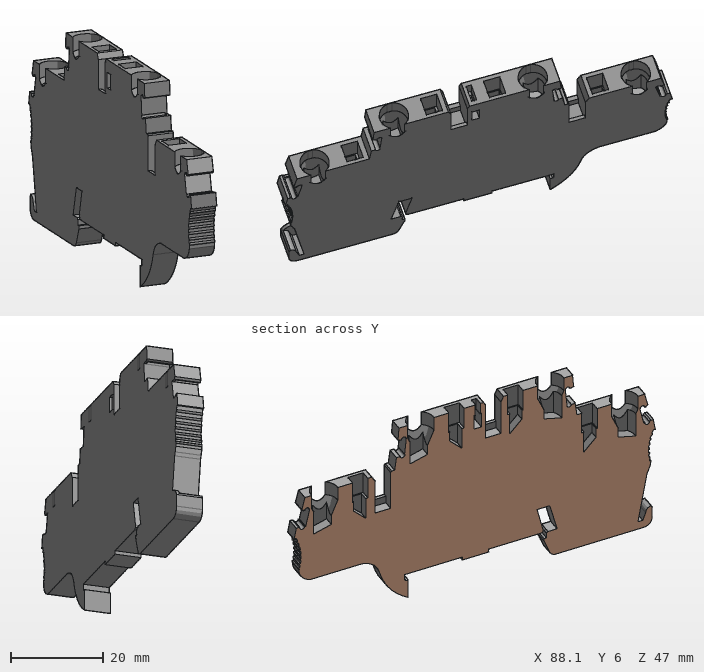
import cadquery as cq
import math

LENGTH = 88.1
WIDTH = 6.0
HEIGHT = 47.0
UPPER_MIRROR_SUM = 82.7
LOWER_TOP = 36.0
RAIL_LINE = 6.9
RAIL_PAD = 6.1
ARM_BOTTOM = 13.3

UPPER_SLOT = (37.7, 41.4)
UPPER_SLOT_FLOOR = 39.0
LOWER_SLOT = (64.6, 68.3)
LOWER_SLOT_FLOOR = 27.8
SLOT_WELL_Y = (0.8, 4.9)
SLOT_WELL_DEPTH = 1.8

HOOK_X = 60.25
HOOK_TIP_Z = 0.4
HOOK_CATCH_Z = 5.3
HOOK_ROOT_X = 61.1

SPRING_SLOT_TOP = 13.6
SPRING_SLOT_X = (25.8, 28.8)

GRIP_TOP = (0.5, 25.5)
GRIP_MIDDLE = (1.7, 20.5)
GRIP_BOTTOM = (1.2, 16.9)
RIB_HEIGHTS = (24.5, 23.25, 22.0, 20.8, 19.55, 18.3, 17.3)
RIB_RADIUS = 0.3

LOWER_WIRE_X = 7.5
UPPER_WIRE_X = 25.5
WIRE_ENTRIES = (
    (LOWER_WIRE_X, LOWER_TOP, 1),
    (UPPER_WIRE_X, HEIGHT, 1),
    (UPPER_MIRROR_SUM - UPPER_WIRE_X, HEIGHT, -1),
    (LENGTH - LOWER_WIRE_X, LOWER_TOP, -1),
)
FUNNEL_Y = 2.7
FUNNEL_RADIUS = 3.2
FUNNEL_FLAT_WIDTH = 1.1
FUNNEL_STRAIGHT_DEPTH = 3.4
FUNNEL_DEPTH = 7.05
FUNNEL_FLOOR_RADIUS = 1.6
WIRE_HOLE_RADIUS = 2.6
WIRE_HOLE_INNER = 1.6
WIRE_HOLE_Y = (0.8, 4.7)
WIRE_HOLE_DEPTH = 10.6
WIRE_FLOOR_SLOPE = 15.0

DRIVER_OFFSET = 8.6
DRIVER_LENGTH = 3.7
DRIVER_Y = (0.8, 5.0)
DRIVER_DEPTH = 5.3
DRIVER_WALL_STEP = 0.3
DRIVER_INNER_LEDGE = 0.5
DRIVER_HOLE_DEPTH = 10.6
DRIVER_FLOOR_SLOPE = 45.0

WINDOW_X = (42.45, 44.1)
WINDOW_Z = (40.6, 44.1)
SLIT_X = (42.7, 43.9)
SLIT_Y = (1.1, 4.9)

LOWER_RECESSES = ((3.2, 32.4), (2.0, 28.2))
UPPER_RECESSES = ((21.4, 43.6), (21.05, 39.3))
RECESS_RADIUS = 0.5
RECESS_WALL = 0.5

FOOT_WEB = 0.8
BACK_EDGE_TOP = (2.0, 14.4)
POCKET_CORNER = (4.2, 2.1)
LIP_TOP = (1.15, 5.4)
FOOT_TOP_Z = 6.8
FOOT_FRONT = 0.8

LOWER_END = [
    GRIP_TOP, (0, 25.5), (0.5, 28.45), (1.15, 28.45), (1.5, 28.2), (2.8, 28.2), (3.8, 32.4),
    (2.3, 32.4), (1.85, 32.85), (2.6, LOWER_TOP),
]
UPPER_END = [
    (19.1, LOWER_TOP), (19.55, 39.3), (21.5, 39.2), (21.9, 43.6), (20.4, 43.6), (19.9, 43.9), (20.2, HEIGHT),
]


def mirrored(points, mirror_sum):
    """Mirror X-Z points left to right and reverse their order."""
    return [(mirror_sum - x, z) for x, z in reversed(points)]


def box(x_range, y_range, z_range):
    """Block spanning the given ranges, in either order of x."""
    x_low, x_high = sorted(x_range)
    size = (x_high - x_low, y_range[1] - y_range[0], z_range[1] - z_range[0])
    return cq.Workplane("XY").box(*size, centered=False).translate((x_low, y_range[0], z_range[0]))


def plate(outline, y_start=0.0, y_end=WIDTH):
    """Extrude a closed X-Z outline across Y."""
    return outline.extrude(y_start - y_end).translate((0, y_start, 0))


def rod(x, z, radius, y_start=0.0, y_end=WIDTH):
    """Round bar along Y."""
    return plate(cq.Workplane("XZ").center(x, z).circle(radius), y_start, y_end)


def body():
    """Side outline of the block, extruded across its full width."""
    outline = cq.Workplane("XZ").moveTo(*GRIP_BOTTOM).threePointArc(GRIP_MIDDLE, GRIP_TOP)
    top_run = LOWER_END[1:] + UPPER_END + [
        (37.1, HEIGHT), (UPPER_SLOT[0], 45.7), (UPPER_SLOT[0], UPPER_SLOT_FLOOR),
        (UPPER_SLOT[1], UPPER_SLOT_FLOOR), (UPPER_SLOT[1], 46.15), (41.9, HEIGHT),
    ]
    top_run += mirrored(UPPER_END, UPPER_MIRROR_SUM)
    top_run += [
        (64.3, LOWER_TOP), (LOWER_SLOT[0], 35.8), (LOWER_SLOT[0], LOWER_SLOT_FLOOR),
        (LOWER_SLOT[1], LOWER_SLOT_FLOOR), (LOWER_SLOT[1], 34.6), (69.1, LOWER_TOP),
    ]
    top_run += mirrored(LOWER_END, LENGTH)
    for point in top_run:
        outline = outline.lineTo(*point)
    grip_middle, grip_bottom = mirrored([GRIP_BOTTOM, GRIP_MIDDLE], LENGTH)
    outline = (
        outline.threePointArc(grip_middle, grip_bottom)
        .lineTo(86.85, 16.2)
        .threePointArc((86.05, 14.5), (83.9, ARM_BOTTOM))
        .lineTo(71.6, ARM_BOTTOM)
        .threePointArc((68.9, 12.15), (67.3, 9.6))
        .threePointArc((64.65, 4.2), (HOOK_X, HOOK_TIP_Z))
        .lineTo(HOOK_X, HOOK_CATCH_Z)
        .lineTo(60.8, HOOK_CATCH_Z)
        .lineTo(HOOK_ROOT_X, 5.6)
    )
    rail_run = [
        (HOOK_ROOT_X, RAIL_LINE), (47.0, RAIL_LINE), (47.0, RAIL_PAD), (40.6, RAIL_PAD), (40.6, RAIL_LINE),
        (27.75, RAIL_LINE), (27.4, 7.2), (27.4, 7.8), (SPRING_SLOT_X[1], SPRING_SLOT_TOP),
        (SPRING_SLOT_X[0], SPRING_SLOT_TOP), (24.05, RAIL_LINE),
        (26.25, RAIL_LINE), (26.6, 6.5), (26.6, 5.3), (27.2, 5.3), (27.2, 4.6), (25.8, 1.1),
    ]
    for point in rail_run:
        outline = outline.lineTo(*point)
    edge_slope = (POCKET_CORNER[0] - BACK_EDGE_TOP[0]) / (POCKET_CORNER[1] - BACK_EDGE_TOP[1])
    foot_top = (BACK_EDGE_TOP[0] + edge_slope * (FOOT_TOP_Z - BACK_EDGE_TOP[1]), FOOT_TOP_Z)
    outline = (
        outline.threePointArc((25.3, 0.35), (24.4, 0))
        .lineTo(2.9, 0)
        .threePointArc((1.4, 0.6), (FOOT_FRONT, 2.1))
        .lineTo(FOOT_FRONT, 4.85)
        .threePointArc((2.0, 6.25), foot_top)
        .lineTo(*BACK_EDGE_TOP)
        .lineTo(1.7, 15.15)
        .lineTo(1.2, 16.3)
        .close()
    )
    return plate(outline)


def grip_ribs():
    """Round ribs along both concave finger grips."""
    arc_points = [cq.Vector(x, 0, z) for x, z in (GRIP_TOP, GRIP_MIDDLE, GRIP_BOTTOM)]
    grip_arc = cq.Edge.makeThreePointArc(*arc_points)
    centre = grip_arc.arcCenter()
    radius = grip_arc.radius()
    ribs = cq.Workplane("XZ")
    for z in RIB_HEIGHTS:
        x = centre.x + math.sqrt(radius**2 - (z - centre.z) ** 2)
        ribs = ribs.add(rod(x, z, RIB_RADIUS)).add(rod(LENGTH - x, z, RIB_RADIUS))
    return ribs.combine()


def foot_pocket():
    """Pocket behind the foot's lip, closed by a thin web on the +Y side."""
    outline = (
        cq.Workplane("XZ").moveTo(*BACK_EDGE_TOP)
        .lineTo(*POCKET_CORNER)
        .lineTo(3.2, POCKET_CORNER[1])
        .lineTo(2.5, 4.0)
        .threePointArc((2.1, 4.85), LIP_TOP)
        .lineTo(LIP_TOP[0], BACK_EDGE_TOP[1])
        .close()
    )
    return plate(outline, 0, WIDTH - FOOT_WEB)


def sloped_hole(x_range, y_range, top, depth, slope):
    """Rectangular hole whose floor starts at the first x and drops towards the second."""
    x_high_floor, x_low_floor = x_range
    drop = abs(x_low_floor - x_high_floor) * math.tan(math.radians(slope))
    floor = top - depth
    outline = cq.Workplane("XZ").polyline([
        (x_high_floor, top), (x_low_floor, top), (x_low_floor, floor), (x_high_floor, floor + drop),
    ]).close()
    return plate(outline, *y_range)


def wire_entry(x, top, inward):
    """Funnel breaking out of the -Y face, and the wire hole below it."""
    funnel_outline = (
        cq.Workplane("XZ").polyline([
            (0, 0), (FUNNEL_RADIUS, 0), (FUNNEL_RADIUS, -FUNNEL_STRAIGHT_DEPTH),
            (FUNNEL_FLOOR_RADIUS, -FUNNEL_DEPTH), (0, -FUNNEL_DEPTH),
        ]).close()
    )
    funnel = funnel_outline.revolve(360, (0, 0), (0, 1)).translate((x, FUNNEL_Y, top))
    funnel_x = (x - FUNNEL_RADIUS, x + FUNNEL_RADIUS)
    flat_y = FUNNEL_Y + math.sqrt(FUNNEL_RADIUS**2 - (FUNNEL_FLAT_WIDTH / 2) ** 2)
    flat_limit = box(funnel_x, (FUNNEL_Y - FUNNEL_RADIUS, flat_y), (top - FUNNEL_DEPTH, top))
    funnel = funnel.intersect(flat_limit)
    hole_x = (x + inward * WIRE_HOLE_INNER, x - inward * WIRE_HOLE_RADIUS)
    hole = sloped_hole(hole_x, WIRE_HOLE_Y, top, WIRE_HOLE_DEPTH, WIRE_FLOOR_SLOPE)
    round_limit = cq.Workplane("XY").center(x, FUNNEL_Y).circle(WIRE_HOLE_RADIUS).extrude(HEIGHT)
    return funnel.union(hole.intersect(round_limit))


def driver_pocket(x, top, inward):
    """Stepped pocket with a ledge on the inward side and a floor falling inwards."""
    centre = x + inward * DRIVER_OFFSET
    outer = centre - inward * DRIVER_LENGTH / 2
    inner = centre + inward * DRIVER_LENGTH / 2
    mouth = box((outer, inner), DRIVER_Y, (top - DRIVER_DEPTH, top))
    hole_x = (outer + inward * DRIVER_WALL_STEP, inner - inward * DRIVER_INNER_LEDGE)
    hole_y = (DRIVER_Y[0] + DRIVER_WALL_STEP, DRIVER_Y[1] - DRIVER_WALL_STEP)
    return mouth.union(sloped_hole(hole_x, hole_y, top, DRIVER_HOLE_DEPTH, DRIVER_FLOOR_SLOPE))


def groove_recesses():
    """Blind round recesses in the floor and ceiling of every label groove."""
    recesses = cq.Workplane("XZ")
    for places, mirror_sum in ((LOWER_RECESSES, LENGTH), (UPPER_RECESSES, UPPER_MIRROR_SUM)):
        for x, z in list(places) + mirrored(places, mirror_sum):
            recesses = recesses.add(rod(x, z, RECESS_RADIUS, 0, WIDTH - RECESS_WALL))
    return recesses.combine()


result = body().union(grip_ribs()).cut(foot_pocket()).cut(groove_recesses())

for entry in WIRE_ENTRIES:
    result = result.cut(wire_entry(*entry)).cut(driver_pocket(*entry))

for slot_x, floor in ((UPPER_SLOT, UPPER_SLOT_FLOOR), (LOWER_SLOT, LOWER_SLOT_FLOOR)):
    result = result.cut(box(slot_x, SLOT_WELL_Y, (floor - SLOT_WELL_DEPTH, floor)))

result = result.cut(box(WINDOW_X, (0, WIDTH), WINDOW_Z))
result = result.cut(box(SLIT_X, SLIT_Y, (WINDOW_Z[0], HEIGHT)))